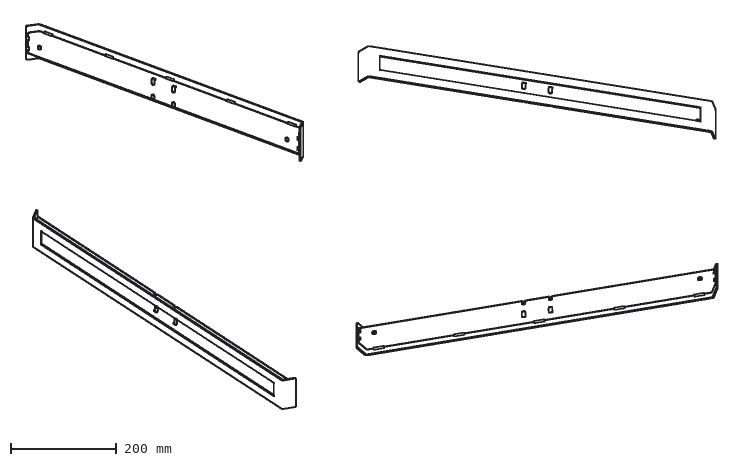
import cadquery as cq
import math

LENGTH = 700.0
DEPTH = 25.0
HEIGHT = 70.0
FRONT_Y = -DEPTH / 2
BACK_Y = DEPTH / 2

SHEET = 3.0
FLANGE_ANGLE = math.radians(60)
BEND_INNER_RADIUS = 2.0
FLANGE_CORNER_RADIUS = 3.0
WINDOW_HALF_HEIGHT = 16.5
WINDOW_HALF_LENGTH = 314.0

CHANNEL_WALL = 1.5
CHANNEL_HEIGHT = 45.0
CHANNEL_RADIUS = 4.5
CHANNEL_SETBACK = 1.0
CHANNEL_END_GAP = 1.3
CHANNEL_FRONT_Y = FRONT_Y + CHANNEL_SETBACK
CHANNEL_BACK_Y = BACK_Y - SHEET

CORNER_SLOT_X = 26.0
CORNER_SLOT_WIDTH = 7.0
CORNER_SLOT_END_Z = 10.0

END_HOLE_X = 315.0
END_HOLE_DIAMETER = 8.0

NOTCH_Z = 10.5
NOTCH_HEIGHT = 6.0
NOTCH_END_X = 341.5

WELD_COUNT = 5
WELD_SPACING = 155.0
WELD_LENGTH = 20.0
WELD_LEG = 3.0

TIP_OUTER_Y = FRONT_Y + SHEET * math.cos(FLANGE_ANGLE)
SLOPE = 1 / math.tan(FLANGE_ANGLE)
FLANGE_WIDTH_X = SHEET / math.sin(FLANGE_ANGLE)


def outer_face_x(y):
    """Half length of the outer flange faces at a given y."""
    return LENGTH / 2 - (y - TIP_OUTER_Y) * SLOPE


def inner_face_x(y):
    """Half length of the inner flange faces at a given y."""
    return outer_face_x(y) - FLANGE_WIDTH_X


def mirrored_outline(right_points):
    """Closed outline from its right half; the left half mirrors it in reverse order."""
    return right_points + [(-x, y) for x, y in reversed(right_points)]


def extruded_in_z(points, height):
    return cq.Workplane("XY").polyline(points).close().extrude(height / 2, both=True)


def fillet_both_ends(sheet, point, radius):
    """Fillet the edge nearest to a point at the right end and its mirror image at the left end."""
    x, y, z = point
    for side in (-1, 1):
        sheet = sheet.edges(cq.NearestToPointSelector((side * x, y, z))).fillet(radius)
    return sheet


def make_back_sheet():
    back_x = outer_face_x(BACK_Y)
    inner_x = inner_face_x(CHANNEL_BACK_Y)
    tip_inner_x = inner_face_x(FRONT_Y)
    outline = mirrored_outline([
        (inner_x, CHANNEL_BACK_Y),
        (tip_inner_x, FRONT_Y),
        (LENGTH / 2, TIP_OUTER_Y),
        (back_x, BACK_Y),
    ])
    sheet = extruded_in_z(outline, HEIGHT)
    sheet = fillet_both_ends(sheet, (back_x, BACK_Y, 0), BEND_INNER_RADIUS + SHEET)
    sheet = fillet_both_ends(sheet, (inner_x, CHANNEL_BACK_Y, 0), BEND_INNER_RADIUS)
    tip_x = (LENGTH / 2 + tip_inner_x) / 2
    tip_y = (TIP_OUTER_Y + FRONT_Y) / 2
    for z in (-HEIGHT / 2, HEIGHT / 2):
        sheet = fillet_both_ends(sheet, (tip_x, tip_y, z), FLANGE_CORNER_RADIUS)
    window = cq.Workplane("XY").box(2 * WINDOW_HALF_LENGTH, 2 * SHEET, 2 * WINDOW_HALF_HEIGHT)
    return sheet.cut(window.translate((0, BACK_Y, 0)))


def make_channel():
    front_end = inner_face_x(CHANNEL_FRONT_Y) - CHANNEL_END_GAP
    back_end = inner_face_x(CHANNEL_BACK_Y) - CHANNEL_END_GAP
    outline = mirrored_outline([(front_end, CHANNEL_FRONT_Y), (back_end, CHANNEL_BACK_Y)])
    channel = extruded_in_z(outline, CHANNEL_HEIGHT)
    channel = channel.edges("|X and <Y").fillet(CHANNEL_RADIUS)
    cavity_depth = CHANNEL_BACK_Y - CHANNEL_FRONT_Y - CHANNEL_WALL
    cavity = (
        cq.Workplane("XY")
        .box(LENGTH, cavity_depth, CHANNEL_HEIGHT - 2 * CHANNEL_WALL)
        .translate((0, CHANNEL_BACK_Y - cavity_depth / 2, 0))
        .edges("|X and <Y")
        .fillet(CHANNEL_RADIUS - CHANNEL_WALL)
    )
    return channel.cut(cavity)


def front_cutter(sketch):
    """Cutter reaching from the front through the front wall and the rounded corners."""
    return sketch.extrude(-CHANNEL_RADIUS)


def front_plane():
    return cq.Workplane("XZ", origin=(0, CHANNEL_FRONT_Y, 0))


def cut_corner_slots(channel):
    half = CORNER_SLOT_WIDTH / 2
    arc_z = CORNER_SLOT_END_Z + half
    for x in (-CORNER_SLOT_X, CORNER_SLOT_X):
        for side in (-1, 1):
            slot = (
                front_plane()
                .moveTo(x - half, side * CHANNEL_HEIGHT / 2)
                .lineTo(x - half, side * arc_z)
                .threePointArc((x, side * CORNER_SLOT_END_Z), (x + half, side * arc_z))
                .lineTo(x + half, side * CHANNEL_HEIGHT / 2)
                .close()
            )
            channel = channel.cut(front_cutter(slot))
    return channel


def cut_end_holes(channel):
    holes = front_plane().pushPoints([(-END_HOLE_X, 0), (END_HOLE_X, 0)]).circle(END_HOLE_DIAMETER / 2)
    return channel.cut(front_cutter(holes))


def cut_end_notches(channel):
    length = LENGTH / 2 - NOTCH_END_X
    middle = NOTCH_END_X + length / 2
    centres = [(x, z) for x in (-middle, middle) for z in (-NOTCH_Z, NOTCH_Z)]
    notches = front_plane().pushPoints(centres).rect(length, NOTCH_HEIGHT)
    return channel.cut(front_cutter(notches))


def make_weld(x, side):
    """Triangular bead on the upper (side = 1) or lower (side = -1) channel wall."""
    wall_z = side * CHANNEL_HEIGHT / 2
    return (
        cq.Workplane("YZ", origin=(x - WELD_LENGTH / 2, CHANNEL_BACK_Y, wall_z))
        .polyline([(0, 0), (-WELD_LEG, 0), (0, side * WELD_LEG)])
        .close()
        .extrude(WELD_LENGTH)
    )


channel = cut_end_notches(cut_end_holes(cut_corner_slots(make_channel())))
result = make_back_sheet().union(channel)
for index in range(WELD_COUNT):
    weld_x = (index - (WELD_COUNT - 1) / 2) * WELD_SPACING
    for side in (-1, 1):
        result = result.union(make_weld(weld_x, side))